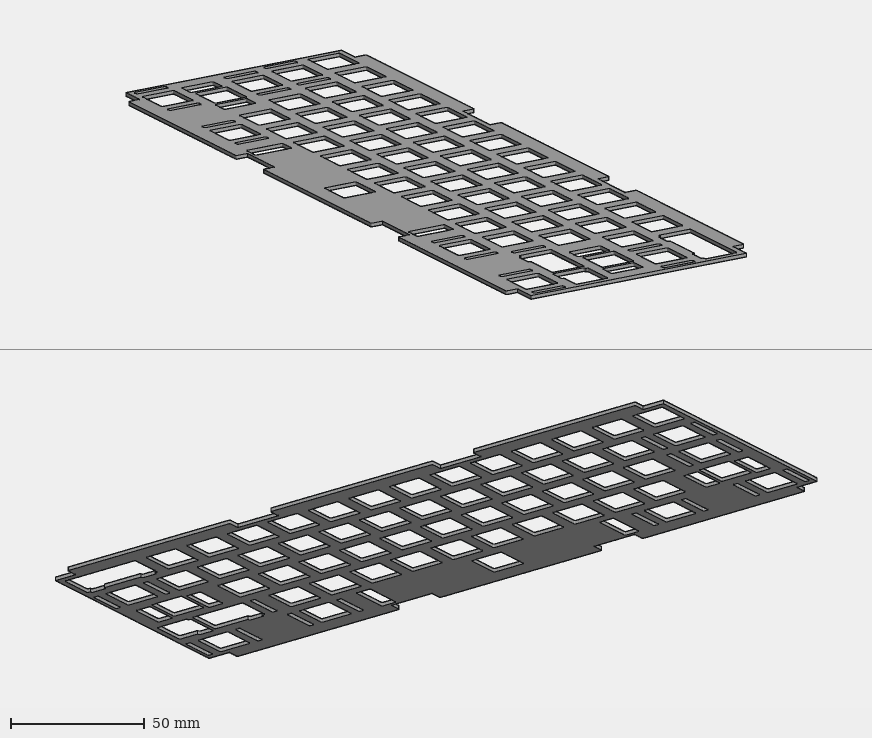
import cadquery as cq

PLATE_LENGTH = 285.8
COLUMNS = 15
ROWS = 5
PITCH = PLATE_LENGTH / COLUMNS
PLATE_WIDTH = ROWS * PITCH
OVERALL_WIDTH = 105.2
THICKNESS = 1.5
CORNER_RADIUS = 0.5

TAB_LENGTH = 4 * PITCH
TAB_COLUMNS = (2.5, 7.5, 12.5)

SWITCH_SIDE = 14.0

SLOT_WIDTH = 2.15
SLOT_INNER_EDGE = 10.5
SLOT_OFFSET = SLOT_INNER_EDGE + SLOT_WIDTH / 2

POCKET_WIDTH = 6.5
POCKET_INNER_EDGE = 8.5
POCKET_OFFSET = POCKET_INNER_EDGE + POCKET_WIDTH / 2
POCKET_DROP = 1.0

SPACEBAR_POCKET_HEIGHT = 16.0
SPACEBAR_OFFSET = 3 * PITCH

SWITCH_COLUMNS = (
    [0.5 + i for i in range(15)] + [14],
    [0.75] + [2 + i for i in range(12)] + [14.25],
    [0.875] + [2.25 + i for i in range(11)] + [13.875],
    [1.125] + [2.75 + i for i in range(10)] + [13.125, 13.625, 14.5],
    [0.75, 3.25, 7.5, 11.75, 14.25],
)

SLOTTED_KEYS = (
    (1, 0.75), (1, 14.25), (2, 0.875), (3, 13.125),
    (4, 0.75), (4, 3.25), (4, 11.75), (4, 14.25),
)
POCKETED_KEYS = ((0, 14), (2, 13.875), (3, 1.125), (3, 13.625))
SPACEBAR_KEY = (4, 7.5)


def column_x(column):
    return column * PITCH - PLATE_LENGTH / 2


def row_y(row):
    return PLATE_WIDTH / 2 - (row + 0.5) * PITCH


def rounded_block(x, y, width, height):
    """Block of plate thickness with rounded upright edges."""
    block = cq.Workplane("XY").center(x, y).rect(width, height).extrude(THICKNESS)
    return block.edges("|Z").fillet(CORNER_RADIUS).val()


def plate():
    """Plain rectangle crossed by long blocks whose ends stand out as tabs."""
    body = cq.Workplane("XY").rect(PLATE_LENGTH, PLATE_WIDTH).extrude(THICKNESS)
    for column in TAB_COLUMNS:
        body = body.union(rounded_block(column_x(column), 0, TAB_LENGTH, OVERALL_WIDTH))
    return body.val()


def switch_opening(row, column):
    return rounded_block(column_x(column), row_y(row), SWITCH_SIDE, SWITCH_SIDE)


def stabilizer_pair(key, offset, width, height, drop=0):
    """Two equal openings, one on each side of a key."""
    row, column = key
    x = column_x(column)
    y = row_y(row) - drop
    return [rounded_block(x + side * offset, y, width, height) for side in (-1, 1)]


openings = []
for row, columns in enumerate(SWITCH_COLUMNS):
    openings += [switch_opening(row, column) for column in columns]
for key in SLOTTED_KEYS:
    openings += stabilizer_pair(key, SLOT_OFFSET, SLOT_WIDTH, SWITCH_SIDE)
for key in POCKETED_KEYS:
    openings += stabilizer_pair(key, POCKET_OFFSET, POCKET_WIDTH, SWITCH_SIDE, POCKET_DROP)
openings += stabilizer_pair(SPACEBAR_KEY, SPACEBAR_OFFSET, POCKET_WIDTH, SPACEBAR_POCKET_HEIGHT)

result = cq.Workplane(plate().cut(*openings)).solids()